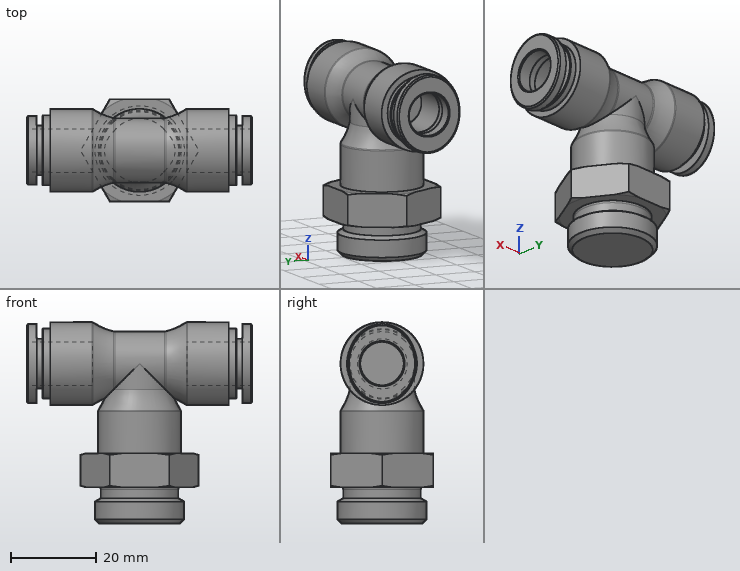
import cadquery as cq
import math


overall_length = 52.8
half_length = overall_length / 2
arm_diameter = 19.5
waist_diameter = 15.1
overall_height = 47.25
bottom_z = arm_diameter / 2 - overall_height

shoulder_start = 5.95
shoulder_end = 11.05
shoulder_sag = 0.25
outer_round = 0.55
waist_round = 1.9

arm_end = 20.95
stem_end = 21.0
socket_diameter = 10.2

collar_diameter = 16.5
collar_end = 22.75
collar_chamfer = 0.2

sleeve_bore = 10.15
flange_height = 18.6
flange_width = 16.15
flange_thickness = 2.3
flange_chamfer = 0.35
neck_diameter = 11.7
neck_fillet = 0.15
mouth_chamfer = 0.25

hex_flats = 24.0
hex_height = 7.95
hex_face_diameter = 25.2
hex_chamfer_angle = 17.0
groove_diameter = 18.2
groove_height = 2.55
groove_flare = 0.1
groove_flare_height = 0.5
plug_diameter = 20.95
plug_shoulder_height = 0.8
plug_chamfer = 1.05


def arm(length, rounded_waist):
    """Solid of revolution from the origin along +X: waist, concave shoulder, full diameter."""
    waist_r = waist_diameter / 2
    arm_r = arm_diameter / 2
    shoulder_run = shoulder_end - shoulder_start
    shoulder_rise = arm_r - waist_r
    chord = math.hypot(shoulder_run, shoulder_rise)
    mid_x = (shoulder_start + shoulder_end) / 2 + shoulder_sag * shoulder_rise / chord
    mid_r = (waist_r + arm_r) / 2 - shoulder_sag * shoulder_run / chord
    solid = (
        cq.Workplane("XY")
        .lineTo(0, waist_r)
        .lineTo(shoulder_start, waist_r)
        .threePointArc((mid_x, mid_r), (shoulder_end, arm_r))
        .lineTo(length, arm_r)
        .lineTo(length, 0)
        .close()
        .revolve(360, (0, 0, 0), (1, 0, 0))
    )
    solid = solid.edges(circle_at(shoulder_end)).fillet(outer_round)
    if rounded_waist:
        solid = solid.edges(circle_at(shoulder_start)).fillet(waist_round)
    return solid


def circle_at(x):
    """Selector for the edges lying in the plane at the given X."""
    reach = overall_length
    slack = 0.005
    low = (x - slack, -reach, -reach)
    high = (x + slack, reach, reach)
    return cq.selectors.BoxSelector(low, high, boundingbox=True)


def mirrored(solid):
    """Copy of a solid on the opposite end of the run."""
    return solid.mirror("YZ")


def disc(x_start, x_end, diameter):
    """Cylinder along X between two positions."""
    return cq.Workplane("YZ", origin=(x_start, 0, 0)).circle(diameter / 2).extrude(x_end - x_start)


def make_tee():
    """Both arms and the stem in one piece, with a blind socket in each arm end."""
    run_arm = arm(arm_end, rounded_waist=True)
    stem = arm(stem_end, rounded_waist=False).rotate((0, 0, 0), (0, 1, 0), 90)
    tee = run_arm.union(mirrored(run_arm)).union(stem)
    socket = disc(shoulder_end, arm_end, socket_diameter)
    return tee.cut(socket).cut(mirrored(socket))


def make_collar():
    """Ring that seats on the arm end."""
    ring = disc(arm_end, collar_end, collar_diameter).faces(">X").chamfer(collar_chamfer)
    return ring.cut(disc(arm_end, collar_end, sleeve_bore))


def make_sleeve():
    """Oval flange on a round neck, with a tube bore through it."""
    flange_back = half_length - flange_thickness
    flange = (
        cq.Workplane("YZ", origin=(flange_back, 0, 0))
        .ellipse(flange_width / 2, flange_height / 2)
        .extrude(flange_thickness)
        .faces(">X")
        .chamfer(flange_chamfer)
    )
    neck = disc(collar_end, flange_back, neck_diameter)
    sleeve = flange.union(neck).edges(circle_at(flange_back)).edges("%CIRCLE").fillet(neck_fillet)
    sleeve = sleeve.cut(disc(collar_end, half_length, sleeve_bore))
    return sleeve.faces(">X").edges("%CIRCLE").chamfer(mouth_chamfer)


def make_stud():
    """Hexagon with a grooved, turned plug below it."""
    hex_corners = hex_flats / math.cos(math.pi / 6)
    hex_top = -stem_end
    hex_bottom = hex_top - hex_height
    hexagon = cq.Workplane("XY", origin=(0, 0, hex_bottom)).polygon(6, hex_corners).extrude(hex_height)

    corner_r = hex_corners / 2
    face_r = hex_face_diameter / 2
    bevel = (corner_r - face_r) * math.tan(math.radians(hex_chamfer_angle))
    envelope = (
        cq.Workplane("XZ")
        .moveTo(0, hex_bottom)
        .lineTo(face_r, hex_bottom)
        .lineTo(corner_r, hex_bottom + bevel)
        .lineTo(corner_r, hex_top - bevel)
        .lineTo(face_r, hex_top)
        .lineTo(0, hex_top)
        .close()
        .revolve(360, (0, 0, 0), (0, 1, 0))
    )

    groove_r = groove_diameter / 2
    plug_r = plug_diameter / 2
    groove_bottom = hex_bottom - groove_height
    plug = (
        cq.Workplane("XZ")
        .moveTo(0, hex_bottom)
        .lineTo(groove_r + groove_flare, hex_bottom)
        .lineTo(groove_r, hex_bottom - groove_flare_height)
        .lineTo(groove_r, groove_bottom)
        .lineTo(plug_r, groove_bottom - plug_shoulder_height)
        .lineTo(plug_r, bottom_z + plug_chamfer)
        .lineTo(plug_r - plug_chamfer, bottom_z)
        .lineTo(0, bottom_z)
        .close()
        .revolve(360, (0, 0, 0), (0, 1, 0))
    )
    return hexagon.intersect(envelope).union(plug)


tee = make_tee()
stud = make_stud()
collar = make_collar()
sleeve = make_sleeve()

bodies = [tee, stud]
for end_part in (collar, sleeve):
    bodies += [end_part, mirrored(end_part)]

result = cq.Compound.makeCompound([body.solids().val() for body in bodies])